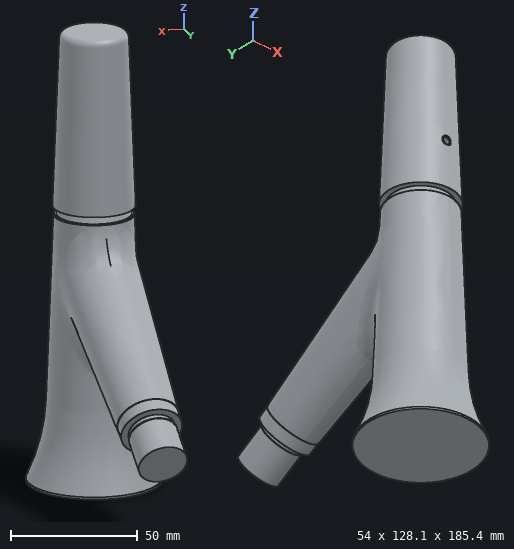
import cadquery as cq

foot_radius = 27.0
foot_height = 1.0
foot_bevel_height = 1.2
flare_base_radius = 26.5
flare_top_radius = 19.0
flare_top_z = 33.3
column_top_radius = 16.1
column_top_z = 110.1
column_rim_chamfer = 0.3

neck_height = 3.2
neck_bottom_radius = 15.0
neck_top_radius = 13.9

spout_slope = 30.0
spout_axis_z = 90.0
spout_root_radius = 16.75
spout_end_radius = 12.65
spout_length = 87.2
collar_end = 92.8
collar_radius = 12.45
nozzle_end = 111.0
nozzle_radius = 9.9
nozzle_groove_length = 2.2
nozzle_groove_radius = 9.5
blend_radius_above = 22.5
blend_radius_below = 9.0

total_height = 185.4
handle_bottom_radius = 16.5
handle_top_radius = 13.7
handle_edge_radius = 3.0
screw_hole_z = 136.1
screw_hole_diameter = 3.2
screw_hole_depth = 3.0
screw_mouth_diameter = 4.3
screw_mouth_depth = 0.5

flare_base_z = foot_height + foot_bevel_height
neck_top_z = column_top_z + neck_height
handle_height = total_height - neck_top_z
column_slope = (flare_top_radius - column_top_radius) / (column_top_z - flare_top_z)

column_overrun = 20.0
overrun_z = column_top_z + column_overrun
overrun_radius = column_top_radius - column_slope * column_overrun

beyond_part = 3 * total_height


def column():
    """Foot, flare and overlong cone; the flare leaves the cone tangentially."""
    return (
        cq.Workplane("XZ")
        .moveTo(0, overrun_z)
        .lineTo(overrun_radius, overrun_z)
        .lineTo(flare_top_radius, flare_top_z)
        .tangentArcPoint((flare_base_radius, flare_base_z), relative=False)
        .lineTo(foot_radius, foot_height)
        .lineTo(foot_radius, 0)
        .lineTo(0, 0)
        .close()
        .revolve(360, (0, 0, 0), (0, 1, 0))
    )


def along_spout(shape):
    """Move a shape built along +Z from the origin onto the spout axis."""
    tilted = shape.rotate((0, 0, 0), (1, 0, 0), -90 - spout_slope)
    return tilted.translate((0, 0, spout_axis_z))


def spout_cone():
    cone = cq.Solid.makeCone(spout_root_radius, spout_end_radius, spout_length)
    return along_spout(cq.Workplane(cone))


def spout_tip():
    """Collar and nozzle, with a shallow groove where the nozzle leaves the collar."""
    groove_end = collar_end + nozzle_groove_length
    return along_spout(
        cq.Workplane("XY", origin=(0, 0, spout_length))
        .circle(collar_radius)
        .extrude(collar_end - spout_length)
        .faces(">Z")
        .workplane()
        .circle(nozzle_groove_radius)
        .extrude(nozzle_groove_length)
        .faces(">Z")
        .workplane()
        .circle(nozzle_radius)
        .extrude(nozzle_end - groove_end)
    )


def blended_column_and_spout():
    """Column and spout joined by a blend that is wide above the spout and tight below it.

    The half with X > 0 has one joint edge, running from below the spout to above it.
    That edge gets a varying-radius fillet, and the half is mirrored across X = 0.
    """
    positive_x = cq.Workplane("XY").box(beyond_part, beyond_part, beyond_part, centered=(False, True, True))
    half = column().union(spout_cone()).intersect(positive_x)
    joint_edge = half.edges("%BSPLINE").val()
    fillet = cq.occ_impl.shapes.BRepFilletAPI_MakeFillet(half.solids().val().wrapped)
    fillet.Add(blend_radius_below, blend_radius_above, joint_edge.wrapped)
    blended_half = cq.Workplane(cq.Shape.cast(fillet.Shape()).Solids()[0])
    return blended_half.union(blended_half.mirror("YZ"))


def neck():
    cone = cq.Solid.makeCone(neck_bottom_radius, neck_top_radius, neck_height)
    return cq.Workplane(cone).translate((0, 0, column_top_z))


def faucet_body():
    """Column trimmed at its rim, with the spout, its tip and the neck, as one solid."""
    above_rim = cq.Workplane("XY", origin=(0, 0, column_top_z)).rect(beyond_part, beyond_part)
    trimmed = blended_column_and_spout().cut(above_rim.extrude(beyond_part))
    eased = trimmed.faces(">Z").chamfer(column_rim_chamfer)
    return eased.union(spout_tip()).union(neck())


def screw_hole():
    """Grub-screw hole in the -Y side of the handle, with a wider mouth."""
    height_fraction = (screw_hole_z - neck_top_z) / handle_height
    wall_radius = handle_bottom_radius + (handle_top_radius - handle_bottom_radius) * height_fraction
    outward = cq.Workplane("XZ", origin=(0, -wall_radius, screw_hole_z))
    bore = outward.circle(screw_hole_diameter / 2).extrude(-screw_hole_depth)
    mouth = (
        outward.workplane(offset=-screw_mouth_depth)
        .circle(screw_mouth_diameter / 2)
        .extrude(handle_bottom_radius)
    )
    return bore.union(mouth)


def lever_handle():
    cone = cq.Solid.makeCone(handle_bottom_radius, handle_top_radius, handle_height)
    cap = cq.Workplane(cone).translate((0, 0, neck_top_z))
    return cap.faces(">Z").edges().fillet(handle_edge_radius).cut(screw_hole())


body = faucet_body()
handle = lever_handle()

result = cq.Compound.makeCompound([body.solids().val(), handle.solids().val()])